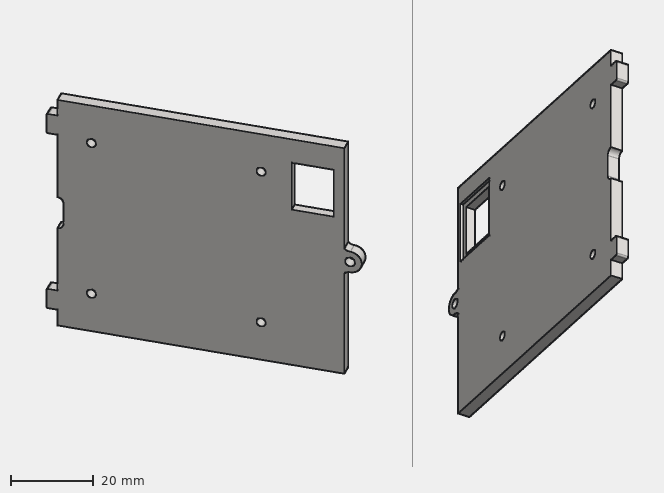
import cadquery as cq
import math

total_length = 80.0
thickness = 3.2
height = 64.5
body_left = 2.8
body_right = 75.6

tab_height = 5.5
tab_edge_offset = 4.5
tab_corner_radius = 0.5

notch_depth = 1.5
notch_height = 8.9

ear_radius = 3.0
ear_hole_diameter = 2.5
ear_flare_radius = 2.0

mount_spacing = 43.0
mount_first_x = 11.4
mount_hole_diameter = 2.3

window_left = 62.2
window_width = 10.6
window_height = 13.4
window_top_offset = 6.7

recess_depth = 0.7
recess_margin = 1.5

ear_x = total_length - ear_radius


def front_plane():
    """Sketch plane facing -Y; extrusion by a negative distance goes toward +Y."""
    return cq.Workplane("XZ")


def block(left, right, center_z, block_height):
    """Rectangular block through the full plate thickness."""
    return (
        front_plane()
        .center((left + right) / 2, center_z)
        .rect(right - left, block_height)
        .extrude(-thickness)
    )


def make_tab(center_z):
    """Tab with rounded outer corners, reaching from its tip to the plate edge."""
    return block(0, body_left, center_z, tab_height).edges("|Y and <X").fillet(tab_corner_radius)


def make_notch():
    """Notch cutter with rounded inner corners."""
    notch_right = body_left + notch_depth
    cutter = block(body_left - notch_depth, notch_right, 0, notch_height)
    return cutter.edges("|Y and >X").fillet(notch_depth)


def make_ear():
    """Round ear blended into the plate edge by two concave flares."""
    neck = ear_x - body_right
    flare_center_z = ear_radius + ear_flare_radius
    flare_end_z = flare_center_z - math.sqrt(ear_flare_radius**2 - neck**2)
    half_angle = math.asin(neck / ear_flare_radius) / 2
    flare_mid_x = ear_x - ear_flare_radius * math.sin(half_angle)
    flare_mid_z = flare_center_z - ear_flare_radius * math.cos(half_angle)
    return (
        front_plane()
        .moveTo(body_right, -flare_end_z)
        .threePointArc((flare_mid_x, -flare_mid_z), (ear_x, -ear_radius))
        .threePointArc((total_length, 0), (ear_x, ear_radius))
        .threePointArc((flare_mid_x, flare_mid_z), (body_right, flare_end_z))
        .close()
        .extrude(-thickness)
    )


def make_holes(centers, diameter):
    """Round cutters through the plate thickness."""
    return front_plane().pushPoints(centers).circle(diameter / 2).extrude(-thickness)


plate = block(body_left, body_right, 0, height).union(make_ear())
tab_z = height / 2 - tab_edge_offset - tab_height / 2
for side in (-1, 1):
    plate = plate.union(make_tab(side * tab_z))

window_z = height / 2 - window_top_offset - window_height / 2
window = block(window_left, window_left + window_width, window_z, window_height)
window_recess = block(
    window_left - recess_margin,
    window_left + window_width + recess_margin,
    window_z,
    window_height + 2 * recess_margin,
).translate((0, thickness - recess_depth, 0))
mount_centers = [
    (x, z)
    for x in (mount_first_x, mount_first_x + mount_spacing)
    for z in (-mount_spacing / 2, mount_spacing / 2)
]
result = (
    plate.cut(make_notch())
    .cut(window)
    .cut(window_recess)
    .cut(make_holes(mount_centers, mount_hole_diameter))
    .cut(make_holes([(ear_x, 0)], ear_hole_diameter))
)